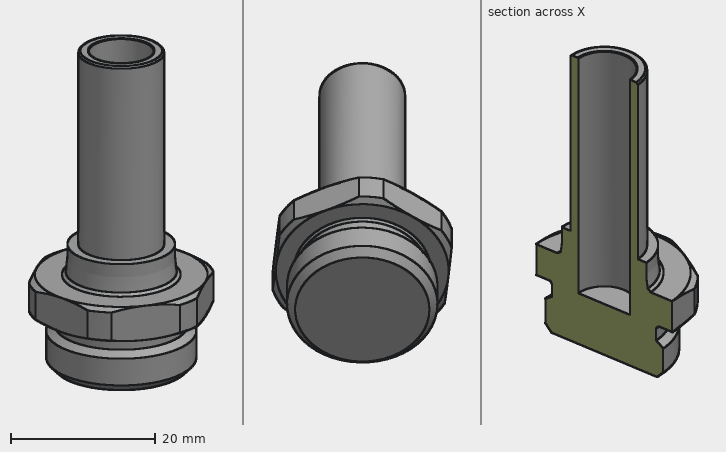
import cadquery as cq

total_height = 47.1
plug_chamfer_height = 1.2
plug_top = 5.2
shoulder_top = 6.05
neck_top = 8.0
hex_bottom = 8.45
hex_top = 13.55
collar_base_top = 14.0
collar_taper_top = 16.15
collar_top = 18.15

plug_radius = 10.45
plug_end_radius = 9.33
neck_radius = 9.25
neck_flare_radius = 9.55
collar_base_radius = 8.25
collar_taper_radius = 7.72
collar_radius = 7.5
tube_radius = 6.0
tube_edge_chamfer = 0.3

across_flats = 24.0
corner_diameter = 26.0
hex_chamfer_height = 0.45

bore_radius = 4.5
bore_edge_chamfer = 0.1
bore_floor = hex_bottom


def revolve_profile(points):
    """Turn a closed (radius, height) outline about the Z axis."""
    return cq.Workplane("XZ").polyline(points).close().revolve(360, (0, 0, 0), (0, 1, 0))


def make_turned_body():
    """Plug, neck, tapered collar and tube as one turned solid."""
    return revolve_profile([
        (0, 0),
        (plug_end_radius, 0),
        (plug_radius, plug_chamfer_height),
        (plug_radius, plug_top),
        (neck_radius, shoulder_top),
        (neck_radius, neck_top),
        (neck_flare_radius, hex_bottom),
        (collar_base_radius, hex_bottom),
        (collar_base_radius, hex_top),
        (collar_taper_radius, collar_base_top),
        (collar_radius, collar_taper_top),
        (collar_radius, collar_top),
        (tube_radius, collar_top),
        (tube_radius, total_height - tube_edge_chamfer),
        (tube_radius - tube_edge_chamfer, total_height),
        (0, total_height),
    ])


def make_hexagon():
    """Hexagon with corners on the X axis, trimmed by a chamfered disc."""
    flat_radius = across_flats / 2
    corner_radius = corner_diameter / 2
    prism = (
        cq.Workplane("XY")
        .workplane(offset=hex_bottom)
        .polygon(6, across_flats, circumscribed=True)
        .extrude(hex_top - hex_bottom)
        .rotate((0, 0, 0), (0, 0, 1), 30)
    )
    disc = revolve_profile([
        (0, hex_bottom),
        (flat_radius, hex_bottom),
        (corner_radius, hex_bottom + hex_chamfer_height),
        (corner_radius, hex_top - hex_chamfer_height),
        (flat_radius, hex_top),
        (0, hex_top),
    ])
    return prism.intersect(disc)


def make_bore():
    """Blind bore with a lightly broken edge at the mouth."""
    return revolve_profile([
        (0, bore_floor),
        (bore_radius, bore_floor),
        (bore_radius, total_height - bore_edge_chamfer),
        (bore_radius + bore_edge_chamfer, total_height),
        (0, total_height),
    ])


result = make_turned_body().union(make_hexagon()).cut(make_bore())